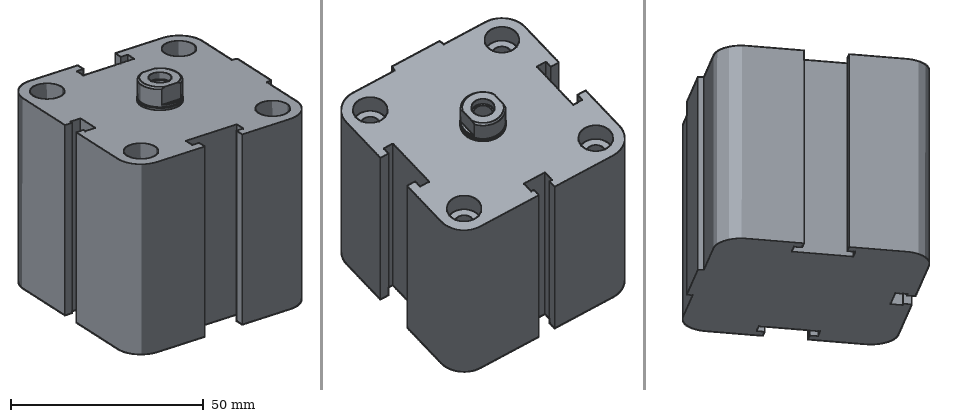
import cadquery as cq

block_width = 57.0
corner_radius = 7.4
overall_depth = 58.5
overall_height = 62.0
rod_projection = 6.5
block_height = overall_height - rod_projection

rail_height = overall_depth - block_width
rail_base_width = 15.7
rail_top_width = 15.2

side_mouth_width = 11.9
side_mouth_depth = 2.6
side_chamber_width = 16.25
side_slot_depth = 5.5
front_mouth_width = 5.0
front_mouth_depth = 2.3
front_chamber_width = 6.7
front_slot_depth = 5.5

hole_spacing = 42.0
counterbore_diameter = 9.0
counterbore_depth = 5.4
hole_diameter = 4.9
hole_depth = 14.5

rod_diameter = 12.0
rod_tip_diameter = 11.7
shoulder_height = 0.6
shoulder_bevel = 0.25
tip_chamfer = 0.5
flats_width = 10.0
flats_length = 5.0
bore_mouth_diameter = 6.0
bore_mouth_depth = 2.0
bore_diameter = 4.9
bore_depth = 10.0
rod_insertion = 14.5


def t_slot(mouth_width, mouth_depth, chamber_width, slot_depth):
    """Full-height T-slot cutter that enters the -Y face of the block."""
    face = -block_width / 2
    mouth = cq.Workplane("XY").box(mouth_width, slot_depth, block_height, centered=(True, False, False))
    chamber = (
        cq.Workplane("XY")
        .box(chamber_width, slot_depth - mouth_depth, block_height, centered=(True, False, False))
        .translate((0, mouth_depth, 0))
    )
    return mouth.union(chamber).translate((0, face, 0))


def make_rail():
    """Rail on the +Y face."""
    face = block_width / 2
    return (
        cq.Workplane("XY")
        .polyline([
            (-rail_base_width / 2, face),
            (-rail_top_width / 2, face + rail_height),
            (rail_top_width / 2, face + rail_height),
            (rail_base_width / 2, face),
        ])
        .close()
        .extrude(block_height)
    )


def make_housing():
    """Block with rail, three T-slots, four mounting holes and the rod seat."""
    block = (
        cq.Workplane("XY")
        .box(block_width, block_width, block_height, centered=(True, True, False))
        .edges("|Z")
        .fillet(corner_radius)
        .union(make_rail())
    )

    side_slot = t_slot(side_mouth_width, side_mouth_depth, side_chamber_width, side_slot_depth)
    for angle in (-90, 90):
        block = block.cut(side_slot.rotate((0, 0, 0), (0, 0, 1), angle))
    block = block.cut(t_slot(front_mouth_width, front_mouth_depth, front_chamber_width, front_slot_depth))

    top = cq.Workplane("XY", origin=(0, 0, block_height))
    holes = top.rect(hole_spacing, hole_spacing, forConstruction=True).vertices()
    block = block.cut(holes.circle(counterbore_diameter / 2).extrude(-counterbore_depth))
    block = block.cut(holes.circle(hole_diameter / 2).extrude(-hole_depth))

    rod_seat = top.circle(rod_diameter / 2).extrude(-rod_insertion)
    return block.cut(rod_seat)


def make_rod():
    """Stepped rod with a chamfered tip, two wrench flats and a stepped blind bore."""
    rod_radius = rod_diameter / 2
    tip_radius = rod_tip_diameter / 2
    shoulder_top = block_height + shoulder_height
    rod = (
        cq.Workplane("XZ")
        .polyline([
            (0, block_height - rod_insertion),
            (rod_radius, block_height - rod_insertion),
            (rod_radius, shoulder_top),
            (tip_radius, shoulder_top + shoulder_bevel),
            (tip_radius, overall_height - tip_chamfer),
            (tip_radius - tip_chamfer, overall_height),
            (0, overall_height),
        ])
        .close()
        .revolve(360, (0, 0, 0), (0, 1, 0))
    )

    tip = cq.Workplane("XY", origin=(0, 0, overall_height))
    flats = (
        tip.rect(2 * rod_diameter, 2 * rod_diameter)
        .rect(flats_width, 2 * rod_diameter)
        .extrude(-flats_length)
    )
    bore_mouth = tip.circle(bore_mouth_diameter / 2).extrude(-bore_mouth_depth)
    bore = tip.circle(bore_diameter / 2).extrude(-bore_depth)
    return rod.cut(flats).cut(bore_mouth).cut(bore)


housing = make_housing()
rod = make_rod()

result = cq.Compound.makeCompound([housing.val(), rod.val()])